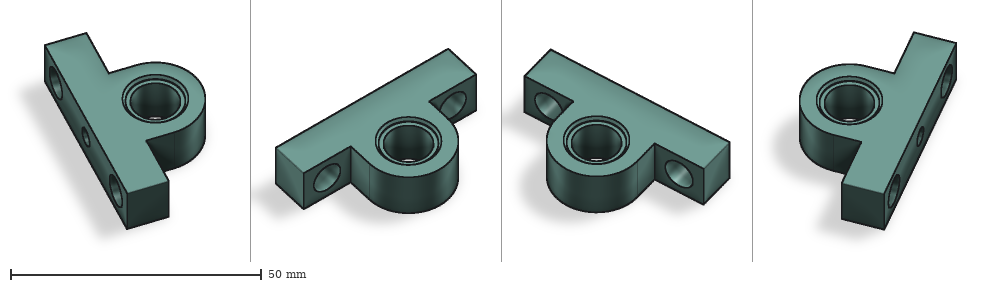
import cadquery as cq
import math

bar_length = 44.0
bar_depth = 9.0
thickness = 10.5
end_edge_radius = 0.1

lug_radius = 10.0
total_depth = 25.0
bore_center_y = total_depth - lug_radius

bore_diameter = 10.0
seat_diameter = 12.0
seat_depth = 0.8
seat_chamfer = 0.6

mount_hole_diameter = 6.8
mount_hole_spacing = 32.0
center_hole_diameter = 4.0
center_hole_depth = 6.0
drill_point_angle = 140.0

top_z = thickness / 2


def make_bar():
    """Bar with its upper and lower end edges slightly rounded."""
    bar = cq.Workplane("XY").box(bar_length, bar_depth, thickness, centered=(True, False, True))
    return bar.faces("<X or >X").edges("|Y").fillet(end_edge_radius)


def make_lug():
    """Straight-sided lug closed by a half round about the bore axis."""
    return (
        cq.Workplane("XY", origin=(0, 0, -top_z))
        .moveTo(-lug_radius, 0)
        .lineTo(-lug_radius, bore_center_y)
        .threePointArc((0, total_depth), (lug_radius, bore_center_y))
        .lineTo(lug_radius, 0)
        .close()
        .extrude(thickness)
    )


def make_bore_cutter():
    """Through bore with a shallow chamfered seat at the top, revolved about Z."""
    bore_radius = bore_diameter / 2
    seat_radius = seat_diameter / 2
    profile = [
        (0, -top_z),
        (bore_radius, -top_z),
        (bore_radius, top_z - seat_depth),
        (seat_radius, top_z - seat_depth),
        (seat_radius, top_z - seat_chamfer),
        (seat_radius + seat_chamfer, top_z),
        (0, top_z),
    ]
    cutter = cq.Workplane("XZ").polyline(profile).close().revolve(360, (0, 0), (0, 1))
    return cutter.translate((0, bore_center_y, 0))


def make_mount_hole_cutter(x):
    """Plain hole through the depth of the bar."""
    hole = cq.Workplane("XZ", origin=(x, 0, 0)).circle(mount_hole_diameter / 2)
    return hole.extrude(-bar_depth)


def make_center_hole_cutter():
    """Blind drilled hole with a conical bottom, revolved about Y."""
    radius = center_hole_diameter / 2
    point_length = radius / math.tan(math.radians(drill_point_angle / 2))
    profile = [
        (0, 0),
        (radius, 0),
        (radius, center_hole_depth),
        (0, center_hole_depth + point_length),
    ]
    return cq.Workplane("XY").polyline(profile).close().revolve(360, (0, 0), (0, 1))


result = make_bar().union(make_lug())
result = result.cut(make_bore_cutter())
result = result.cut(make_center_hole_cutter())
for side in (-1, 1):
    result = result.cut(make_mount_hole_cutter(side * mount_hole_spacing / 2))